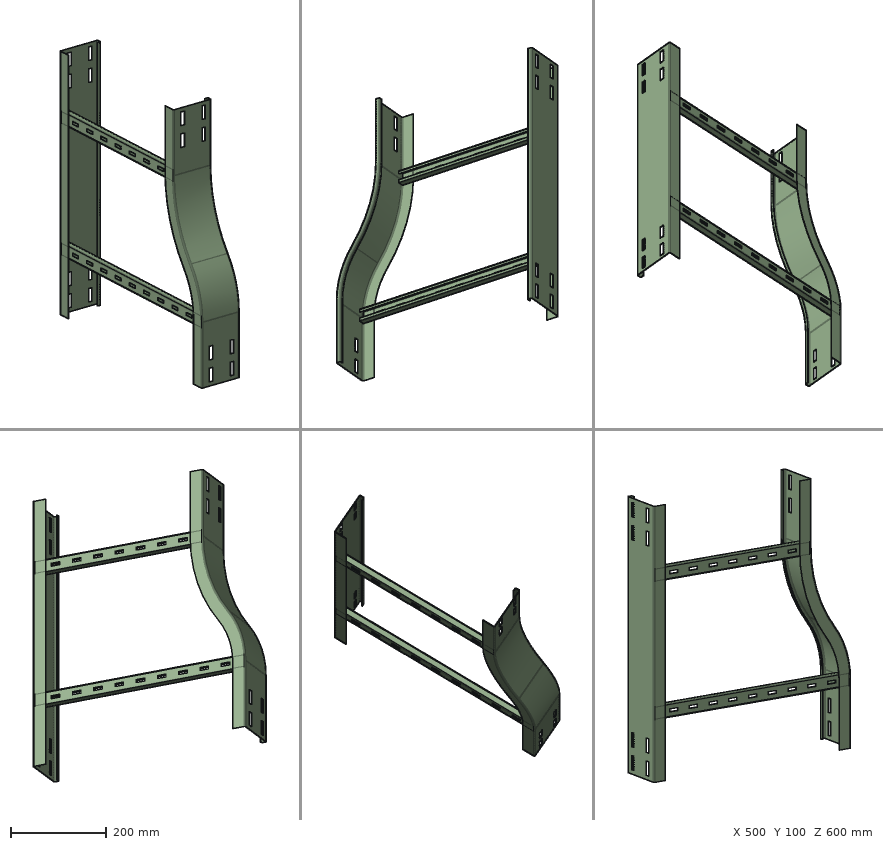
import cadquery as cq
import math

length = 600.0
wide_end = 500.0
narrow_end = 400.0
depth = 100.0

sheet = 2.0
bend_inner = 1.1
bend_outer = bend_inner + sheet

flange_width = 30.0
hook_width = 12.0
hook_drop = 9.0

bend_start = 150.0
bend_end = length - bend_start
lower_radius = 200.0
upper_radius = 300.0
half_turn = math.atan2(wide_end - narrow_end, bend_end - bend_start)
turn = 2 * half_turn

joint_slots = [(25.0, 10.0), (80.0, 8.0)]
joint_slot_length = 31.0
joint_slot_inset = 25.0
joint_slot_pitch = 50.0
joint_slot_rows = 2

rung_height = 30.0
rung_depth = 16.0
lip_width = 8.0
rung_end = 2 * sheet
rung_slot_length = 20.0
rung_slot_height = 6.5
rung_slot_pitch = 50.0
first_rung_slot = 52.0
lower_rung_z = bend_start
upper_rung_z = bend_end
lower_rung_slots = 9
upper_rung_slots = 7


def rail_section(outer_x, inward):
    """Closed rail section; the web's outer face is at outer_x and the flanges point inward (+1 or -1)."""
    hook_inner = hook_width - sheet
    corners = [
        (0, 0),
        (flange_width, 0),
        (flange_width, sheet),
        (sheet, sheet),
        (sheet, depth - sheet),
        (hook_inner, depth - sheet),
        (hook_inner, depth - hook_drop),
        (hook_width, depth - hook_drop),
        (hook_width, depth),
        (0, depth),
    ]
    outer_bends = [(0, 0), (hook_width, depth), (0, depth)]
    inner_bends = [(sheet, sheet), (sheet, depth - sheet), (hook_inner, depth - sheet)]

    def place(corner):
        return cq.Vector(outer_x + inward * corner[0], corner[1], 0)

    def round_corners(face, radius, bends):
        vertices = [
            vertex
            for vertex in face.Vertices()
            if any((vertex.Center() - place(bend)).Length < sheet / 10 for bend in bends)
        ]
        return face.fillet2D(radius, vertices)

    outline = cq.Wire.makePolygon([place(corner) for corner in corners], close=True)
    face = cq.Face.makeFromWires(outline)
    face = round_corners(face, bend_outer, outer_bends)
    face = round_corners(face, bend_inner, inner_bends)
    return face.outerWire()


def cut_joint_slots(rail, outer_x, end_z, toward_middle):
    """Two pairs of slots through the web near one end of a rail."""
    for y, width in joint_slots:
        slot = cq.Workplane("XY").box(4 * sheet, width, joint_slot_length)
        for row in range(joint_slot_rows):
            z = end_z + toward_middle * (joint_slot_inset + row * joint_slot_pitch)
            rail = rail.cut(slot.translate((outer_x, y, z)))
    return rail


def make_straight_rail():
    rail = cq.Workplane("XY").add(rail_section(0, 1)).toPending().extrude(length)
    rail = cut_joint_slots(rail, 0, 0, 1)
    return cut_joint_slots(rail, 0, length, -1)


def make_reducing_rail():
    def lower_arc(angle):
        return (
            wide_end - lower_radius * (1 - math.cos(angle)),
            bend_start + lower_radius * math.sin(angle),
        )

    def upper_arc(angle):
        return (
            narrow_end + upper_radius * (1 - math.cos(angle)),
            bend_end - upper_radius * math.sin(angle),
        )

    path = (
        cq.Workplane("XZ")
        .moveTo(wide_end, 0)
        .lineTo(wide_end, bend_start)
        .threePointArc(lower_arc(half_turn), lower_arc(turn))
        .threePointArc(upper_arc(half_turn), (narrow_end, bend_end))
        .lineTo(narrow_end, length)
    )
    rail = cq.Workplane("XY").add(rail_section(wide_end, -1)).toPending().sweep(path)
    rail = cut_joint_slots(rail, wide_end, 0, 1)
    return cut_joint_slots(rail, narrow_end, length, -1)


def make_rung(z, frame_width, slot_count):
    """Lipped channel behind the front flanges, open to the back, with a row of slots in its web."""
    rung_length = frame_width - 2 * rung_end

    def bar(middle_y, size_y, size_z):
        return (
            cq.Workplane("YZ", origin=(rung_end, middle_y, z))
            .rect(size_y, size_z)
            .extrude(rung_length)
        )

    middle = sheet + rung_depth / 2
    back = sheet + rung_depth
    rung = bar(middle, rung_depth, rung_height).edges("|X").fillet(sheet)
    rung = rung.cut(bar(middle, rung_depth - 2 * sheet, rung_height - 2 * sheet))
    rung = rung.cut(bar(back, 2 * sheet, rung_height - 2 * lip_width))
    for index in range(slot_count):
        x = first_rung_slot + index * rung_slot_pitch
        slot = cq.Workplane("XY").box(rung_slot_length, 4 * sheet, rung_slot_height)
        rung = rung.cut(slot.translate((x, sheet, z)))
    return rung


straight_rail = make_straight_rail()
reducing_rail = make_reducing_rail()

rungs = [
    make_rung(lower_rung_z, wide_end, lower_rung_slots),
    make_rung(upper_rung_z, narrow_end, upper_rung_slots),
]

bodies = [straight_rail, reducing_rail] + rungs
result = cq.Compound.makeCompound([body.solids().val() for body in bodies])